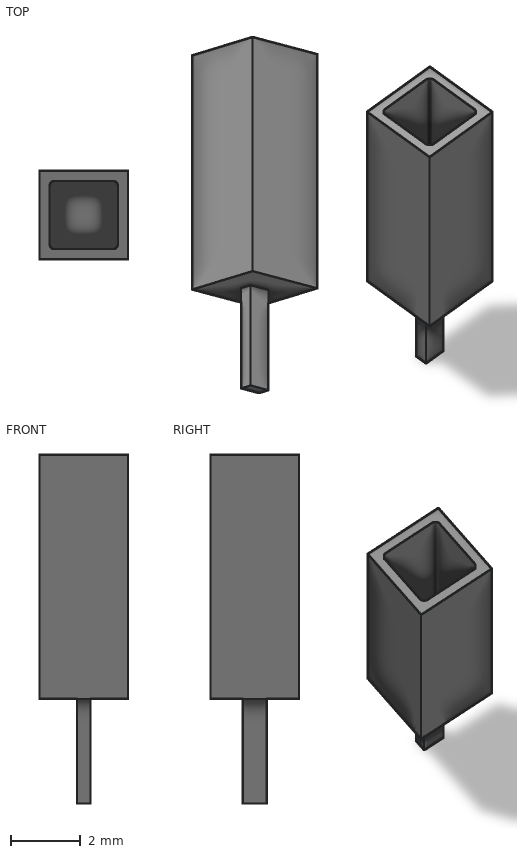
import cadquery as cq

total_height = 10.0
housing_width = 2.54
pin_length = 3.0
housing_height = total_height - pin_length
wall = 0.29
floor_thickness = wall
cavity_width = housing_width - 2 * wall
cavity_depth = housing_height - floor_thickness
cavity_corner_radius = 0.15

pin_width_x = 0.4
pin_width_y = 0.7


def make_housing():
    """Square block standing on Z = 0, with a round-cornered blind cavity from the top."""
    block = cq.Workplane("XY").rect(housing_width, housing_width).extrude(housing_height)
    cavity = (
        cq.Workplane("XY")
        .workplane(offset=floor_thickness)
        .rect(cavity_width, cavity_width)
        .extrude(cavity_depth)
        .edges("|Z")
        .fillet(cavity_corner_radius)
    )
    return block.cut(cavity)


def make_pin():
    """Rectangular lead hanging down from the centre of the housing's underside."""
    return cq.Workplane("XY").rect(pin_width_x, pin_width_y).extrude(-pin_length)


housing = make_housing()
pin = make_pin()

result = cq.Compound.makeCompound([housing.val(), pin.val()])